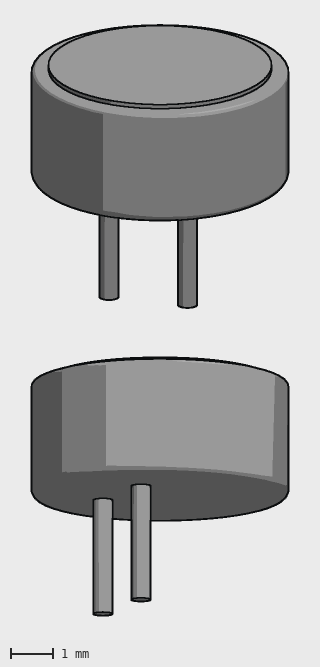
import cadquery as cq

body_diameter = 6.0
body_height = 2.7
top_edge_radius = 0.1
bottom_edge_radius = 0.2

disc_diameter = 5.2
disc_height = 0.1

pin_diameter = 0.45
pin_length = 2.7
pin_pitch = 1.9
pin_offset_y = -1.0


def make_body():
    """Cylinder with both rims rounded."""
    body = cq.Workplane("XY").circle(body_diameter / 2).extrude(body_height)
    body = body.faces(">Z").edges().fillet(top_edge_radius)
    return body.faces("<Z").edges().fillet(bottom_edge_radius)


def make_disc():
    return (
        cq.Workplane("XY")
        .workplane(offset=body_height)
        .circle(disc_diameter / 2)
        .extrude(disc_height)
    )


def make_pins():
    pin_centers = [(side * pin_pitch / 2, pin_offset_y) for side in (-1, 1)]
    return (
        cq.Workplane("XY")
        .pushPoints(pin_centers)
        .circle(pin_diameter / 2)
        .extrude(-pin_length)
    )


result = make_body().union(make_disc()).union(make_pins())